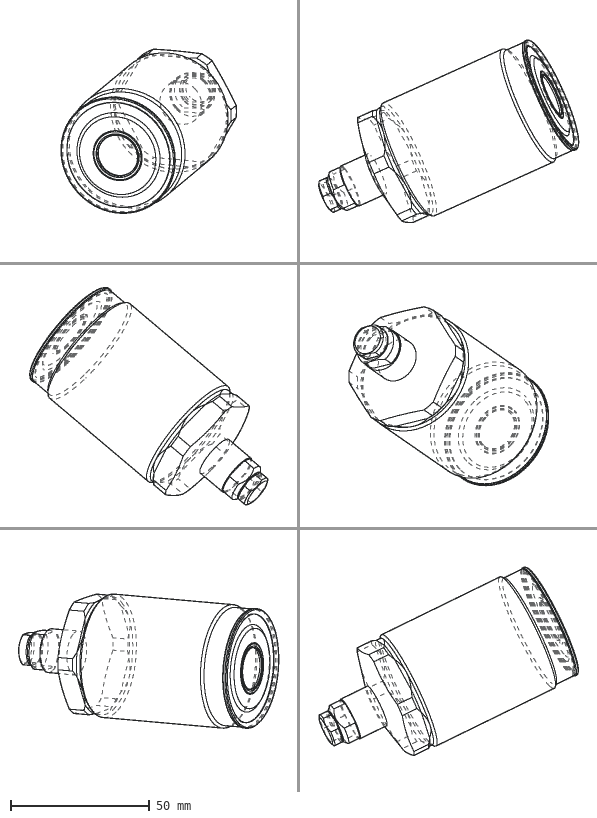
import cadquery as cq
import math


barrel_diameter = 45.0
barrel_radius = barrel_diameter / 2
neck_radius = 21.5
barrel_chamfer = barrel_radius - neck_radius
face_y = 1.1
barrel_front_y = 8.9
barrel_rear_y = 59.2

hex_sides = 6
hex_half_width = 20.5
hex_front_y = 60.5
hex_chamfer_length = 1.1
cap_y = 67.6
cap_end_y = 71.1
cap_end_radius = 9.75

boss_base_radius = 15.9
boss_top_radius = 14.6
boss_top_y = 0.2
lip_outer_radius = 9.4
lip_outer_bevel = 0.4
recess_radius = 7.6
recess_depth = 0.8
recess_round = 0.55

ring_back_y = 1.4
ring_outer_radius = 21.8
ring_inner_radius = 19.8
ring_inner_round = 0.8
ring_outer_chamfer = 0.4

stem_radius = 8.0
stem_end_y = 82.0

nut_radius = 7.7
nut_half_width = 6.5
nut_end_y = 87.95
nut_end_radius = 6.3
nut_cone_length = 1.4
nut_chamfer = 0.3

tip_radius = 6.3
tip_half_width = 5.5
tip_end_y = 92.0
tip_chamfer_width = 0.9
tip_chamfer_angle = 30
tip_chamfer_length = tip_chamfer_width * math.tan(math.radians(tip_chamfer_angle))


def revolve_about_y(points):
    """Turn a closed (radius, y) outline around the Y axis."""
    return cq.Workplane("XY").polyline(points).close().revolve(360, (0, 0, 0), (0, 1, 0))


def disc(radius, start_y, end_y):
    """Solid cylinder on the Y axis."""
    return revolve_about_y([(0, start_y), (radius, start_y), (radius, end_y), (0, end_y)])


def cut_two_flats(turned, half_width, start_y, end_y):
    """Keep only the material between flats at Z = +half_width and Z = -half_width."""
    slab = cq.Workplane("XY").box(barrel_diameter, end_y - start_y, 2 * half_width)
    return turned.intersect(slab.translate((0, (start_y + end_y) / 2, 0)))


def make_hex_flat_cutter():
    """Material beyond one hexagon flat, with a sloped run-out into the rear neck."""
    outside = barrel_radius + 0.9
    profile = [
        (hex_front_y, hex_half_width),
        (cap_end_y, hex_half_width),
        (cap_end_y, outside),
        (barrel_rear_y, outside),
        (barrel_rear_y, neck_radius),
    ]
    return cq.Workplane("YZ").polyline(profile).close().extrude(barrel_radius, both=True)


def make_lip():
    """Raised lip on the boss, bevelled outside and rounded inside."""
    lip = (
        cq.Workplane("XY")
        .moveTo(recess_radius, recess_round)
        .radiusArc((recess_radius + recess_round, 0), recess_round)
        .lineTo(lip_outer_radius - lip_outer_bevel, 0)
        .lineTo(lip_outer_radius, boss_top_y)
        .lineTo(lip_outer_radius, recess_round)
        .close()
    )
    return lip.revolve(360, (0, 0, 0), (0, 1, 0))


def make_housing():
    """Barrel, hexagon, conical cap and front boss in one piece."""
    housing = revolve_about_y([
        (0, boss_top_y),
        (boss_top_radius, boss_top_y),
        (boss_base_radius, face_y),
        (ring_inner_radius, face_y),
        (ring_inner_radius, ring_back_y),
        (neck_radius, ring_back_y),
        (neck_radius, barrel_front_y),
        (barrel_radius, barrel_front_y + barrel_chamfer),
        (barrel_radius, barrel_rear_y - barrel_chamfer),
        (neck_radius, barrel_rear_y),
        (neck_radius, hex_front_y),
        (barrel_radius, hex_front_y + hex_chamfer_length),
        (barrel_radius, cap_y),
        (cap_end_radius, cap_end_y),
        (0, cap_end_y),
    ])
    flat_cutter = make_hex_flat_cutter()
    for side in range(hex_sides):
        housing = housing.cut(flat_cutter.rotate((0, 0, 0), (0, 1, 0), side * 360 / hex_sides))
    recess = disc(recess_radius, 0, recess_depth)
    return housing.cut(recess).union(make_lip())


def make_front_ring():
    """Ring on the housing face with a rounded inner edge and chamfered outer edges."""
    ring = disc(ring_outer_radius, 0, ring_back_y).cut(disc(ring_inner_radius, 0, ring_back_y))
    ring = ring.edges(cq.selectors.RadiusNthSelector(1)).chamfer(ring_outer_chamfer)
    return ring.faces("<Y").edges(cq.selectors.RadiusNthSelector(0)).fillet(ring_inner_round)


def make_stem():
    """Plain cylinder behind the conical cap."""
    return disc(stem_radius, cap_end_y, stem_end_y)


def make_gland_nut():
    """Turned nut with a conical rear end and two flats."""
    turned = revolve_about_y([
        (0, stem_end_y),
        (nut_radius - nut_chamfer, stem_end_y),
        (nut_radius, stem_end_y + nut_chamfer),
        (nut_radius, nut_end_y - nut_cone_length),
        (nut_end_radius, nut_end_y),
        (0, nut_end_y),
    ])
    return cut_two_flats(turned, nut_half_width, stem_end_y, nut_end_y)


def make_tip():
    """End cap chamfered at both ends, with two flats."""
    chamfered_radius = tip_radius - tip_chamfer_width
    turned = revolve_about_y([
        (0, nut_end_y),
        (chamfered_radius, nut_end_y),
        (tip_radius, nut_end_y + tip_chamfer_length),
        (tip_radius, tip_end_y - tip_chamfer_length),
        (chamfered_radius, tip_end_y),
        (0, tip_end_y),
    ])
    return cut_two_flats(turned, tip_half_width, nut_end_y, tip_end_y)


housing = make_housing()
front_ring = make_front_ring()
stem = make_stem()
gland_nut = make_gland_nut()
tip = make_tip()

result = cq.Compound.makeCompound([
    housing.val(),
    front_ring.val(),
    stem.val(),
    gland_nut.val(),
    tip.val(),
])